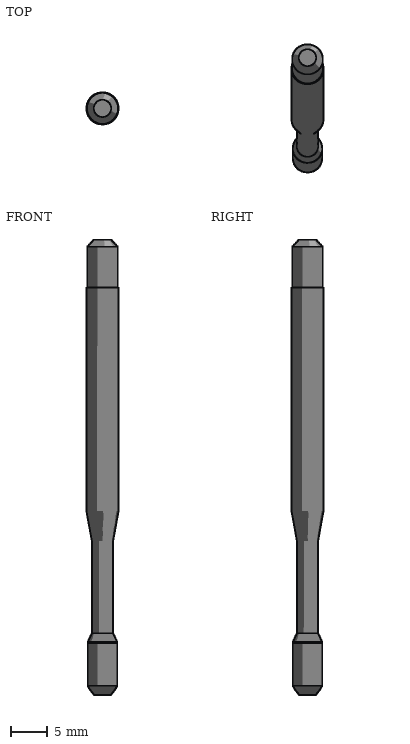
import cadquery as cq

total_length = 63.2

shank_diameter = 4.5
shank_end_diameter = 4.3
shank_end_bottom = 56.5
shank_step_chamfer = (shank_diameter - shank_end_diameter) / 2
end_chamfer = 1.0
end_face_diameter = 2.4
shank_bottom = 25.55

neck_diameter = 3.0
cone_bottom = 21.35

neck_bottom = 8.6
shoulder_bend_diameter = 3.3
shoulder_bend = 8.3
shoulder_bottom = 7.4
land_height = 0.2

head_diameter = 4.1
head_top = shoulder_bottom - land_height
tip_height = 1.3
tip_bend_diameter = 3.6
tip_bend = 0.8
tip_diameter = 2.3


def revolved(profile):
    """Revolve (radius, height) points, closed along the axis, about Z."""
    bottom = profile[0][1]
    top = profile[-1][1]
    outline = [(0, bottom), *profile, (0, top)]
    return cq.Workplane("XZ").polyline(outline).close().revolve(360, (0, 0), (0, 1))


def make_shank():
    """Shank with a slightly reduced chamfered end, a cone, a thin neck and a shoulder."""
    return revolved([
        (head_diameter / 2, head_top),
        (head_diameter / 2, shoulder_bottom),
        (shoulder_bend_diameter / 2, shoulder_bend),
        (neck_diameter / 2, neck_bottom),
        (neck_diameter / 2, cone_bottom),
        (shank_diameter / 2, shank_bottom),
        (shank_diameter / 2, shank_end_bottom),
        (shank_end_diameter / 2, shank_end_bottom + shank_step_chamfer),
        (shank_end_diameter / 2, total_length - end_chamfer),
        (end_face_diameter / 2, total_length),
    ])


def make_head():
    """Cylindrical head with a tip that narrows in two tapers."""
    return revolved([
        (tip_diameter / 2, 0),
        (tip_bend_diameter / 2, tip_bend),
        (head_diameter / 2, tip_height),
        (head_diameter / 2, head_top),
    ])


shank = make_shank()
head = make_head()
result = cq.Compound.makeCompound([shank.val(), head.val()])